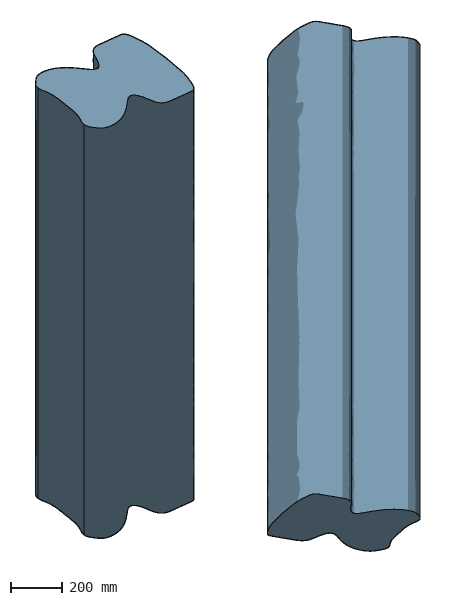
import cadquery as cq

length = 2000.0
width = 460.0
depth = 515.0

head_half = width / 2
flank_top = 465.0
flank_bottom = 362.0
shoulder = (198.0, 495.0)
crown_side = (130.0, 510.0)

head_underside = (185.0, 305.0)
notch_top = (140.0, 288.0)
notch_upper = (115.0, 272.0)
notch_root = (110.0, 258.0)
notch_lower = (115.0, 242.0)
notch_bottom = (135.0, 222.0)

foot_hip = (200.0, 150.0)
foot_side = (220.0, 78.0)
toe_side = (195.0, 25.0)
toe_tip = (148.0, 0.0)
toe_inner = (110.0, 10.0)
hollow_half = 45.0
hollow_depth = 20.0

crown_start = (1, 0)
straight_down = (0, -1)
notch_entry = (-2, -1)
notch_exit = (1, -0.9)
hip_turn = (0.6, -1)
toe_turn = (-1, -0.8)
along_bottom = (-1, 0)
toe_rise = (-1, 0.3)


def half_outline():
    """Right half of the section, traced from the crown down to the hollow."""
    return (
        cq.Workplane("XY")
        .moveTo(0, depth)
        .spline([crown_side, shoulder, (head_half, flank_top)], includeCurrent=True,
                tangents=[crown_start, straight_down])
        .lineTo(head_half, flank_bottom)
        .spline([head_underside, notch_top], includeCurrent=True,
                tangents=[straight_down, notch_entry])
        .spline([notch_upper, notch_root, notch_lower, notch_bottom], includeCurrent=True,
                tangents=[notch_entry, notch_exit])
        .spline([foot_hip], includeCurrent=True, tangents=[notch_exit, hip_turn])
        .spline([foot_side], includeCurrent=True, tangents=[hip_turn, straight_down])
        .spline([toe_side], includeCurrent=True, tangents=[straight_down, toe_turn])
        .spline([toe_tip], includeCurrent=True, tangents=[toe_turn, along_bottom])
        .spline([toe_inner], includeCurrent=True, tangents=[along_bottom, toe_rise])
        .spline([(hollow_half, hollow_depth)], includeCurrent=True,
                tangents=[toe_rise, along_bottom])
        .lineTo(0, hollow_depth)
    )


result = half_outline().mirrorY().extrude(length)